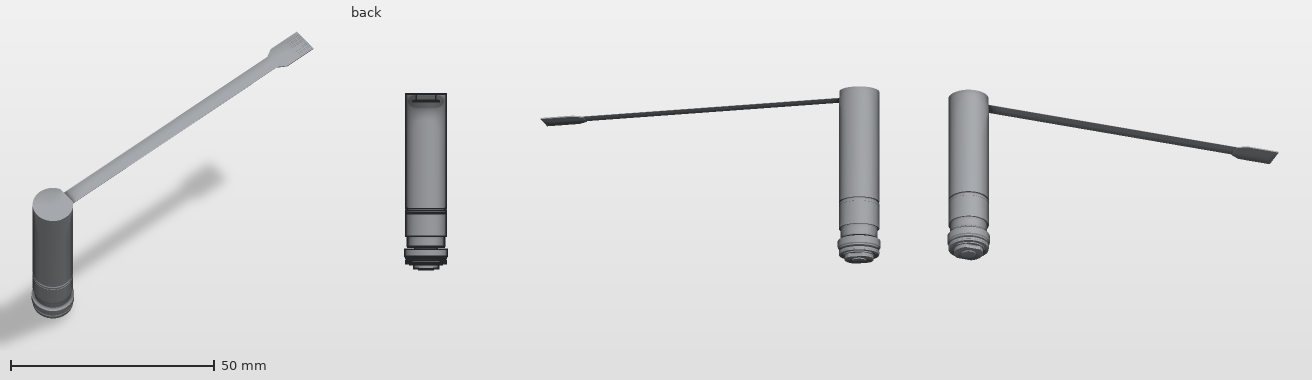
import cadquery as cq


HOUSING_DIAMETER = 10.0
HOUSING_BOTTOM = -28.2
FLAT_Y = 4.35
FLAT_BOTTOM = -1.8

HOLDER_TOP_DIAMETER = 9.0
HOLDER_DIAMETER = 10.0
HOLDER_COLLAR_TOP = -28.7
HOLDER_GROOVE_TOP = -29.2
HOLDER_GROOVE_BOTTOM = -29.5
HOLDER_GROOVE_DIAMETER = 9.8
HOLDER_SHOULDER = -35.0
HOLDER_NOSE_DIAMETER = 9.1
HOLDER_BOTTOM = -37.7
HOLDER_RIM_DIAMETER = HOLDER_TOP_DIAMETER
HOLDER_RIM_TOP = -37.4

TIP_NECK_DIAMETER = 5.6
RING_DIAMETER = 10.5
FLANGE_DIAMETER = 10.0
RING_TOP = -38.2
RING_CHAMFER = (RING_DIAMETER - FLANGE_DIAMETER) / 2
RING_BOTTOM = -40.15
SLEEVE_BOTTOM = -40.4
UNDERCUT_DIAMETER = 6.9
FLANGE_TOP = -40.9
FLANGE_STEP = -41.4
FLANGE_RIM_DIAMETER = 9.9
FLANGE_BOTTOM = -41.8
BOSS_DIAMETER = 8.0
BOSS_BOTTOM = -42.0
SPIGOT_DIAMETER = 7.2
SPIGOT_WIDTH = 6.1
SPIGOT_BOTTOM = -43.0
PAD_DIAMETER = 3.6
TIP_BOTTOM = -43.2

TOTAL_LENGTH = 85.25
CABLE_END_Y = TOTAL_LENGTH - RING_DIAMETER / 2
CABLE_WIDTH = 3.9
CABLE_THICKNESS = 0.1
CABLE_BOTTOM = FLAT_BOTTOM
CABLE_TOP = CABLE_BOTTOM + CABLE_THICKNESS
CONNECTOR_WIDTH = 6.5
CONNECTOR_LENGTH = 10.4
CONNECTOR_STRAIGHT_LENGTH = 8.3
CONNECTOR_THICKNESS = 0.3
CONTACT_COUNT = 12
CONTACT_PITCH = CONNECTOR_WIDTH / (CONTACT_COUNT + 1)
CONTACT_WIDTH = 0.3
CONTACT_LENGTH = 4.0
CONTACT_HEIGHT = 0.05


def disc(diameter, top, bottom):
    """Cylinder on the Z axis between two heights."""
    return cq.Workplane("XY").workplane(offset=bottom).circle(diameter / 2).extrude(top - bottom)


def cone(top_diameter, top, bottom_diameter, bottom):
    """Truncated cone on the Z axis between two heights."""
    return (
        cq.Workplane("XY")
        .workplane(offset=bottom)
        .circle(bottom_diameter / 2)
        .workplane(offset=top - bottom)
        .circle(top_diameter / 2)
        .loft()
    )


def flat_sided_disc(diameter, width_x, width_y, top, bottom):
    """Cylinder on the Z axis trimmed to a rectangle seen along Z."""
    limits = cq.Workplane("XY").workplane(offset=bottom).rect(width_x, width_y).extrude(top - bottom)
    return disc(diameter, top, bottom).intersect(limits)


def fuse(sections):
    """Join the stacked sections of one body into a single solid."""
    body = sections[0]
    for section in sections[1:]:
        body = body.union(section)
    return body


def make_housing():
    body = disc(HOUSING_DIAMETER, 0, HOUSING_BOTTOM)
    flat_cut = (
        cq.Workplane("XY")
        .box(HOUSING_DIAMETER, HOUSING_DIAMETER, -FLAT_BOTTOM, centered=(True, False, False))
        .translate((0, FLAT_Y, FLAT_BOTTOM))
    )
    return body.cut(flat_cut)


def make_holder():
    shoulder = cone(HOLDER_TOP_DIAMETER, HOUSING_BOTTOM, HOLDER_DIAMETER, HOLDER_COLLAR_TOP)
    collar = disc(HOLDER_DIAMETER, HOLDER_COLLAR_TOP, HOLDER_GROOVE_TOP)
    groove_core = disc(HOLDER_GROOVE_DIAMETER, HOLDER_GROOVE_TOP, HOLDER_GROOVE_BOTTOM)
    barrel = disc(HOLDER_DIAMETER, HOLDER_GROOVE_BOTTOM, HOLDER_SHOULDER)
    nose = disc(HOLDER_NOSE_DIAMETER, HOLDER_SHOULDER, HOLDER_RIM_TOP)
    rim = disc(HOLDER_RIM_DIAMETER, HOLDER_RIM_TOP, HOLDER_BOTTOM)
    return fuse([shoulder, collar, groove_core, barrel, nose, rim])


def make_tip():
    neck = disc(TIP_NECK_DIAMETER, HOLDER_BOTTOM, RING_TOP)
    ring = disc(RING_DIAMETER, RING_TOP, RING_BOTTOM).faces("<Z").chamfer(RING_CHAMFER)
    sleeve = disc(FLANGE_DIAMETER, RING_BOTTOM, SLEEVE_BOTTOM)
    undercut = cone(FLANGE_DIAMETER, SLEEVE_BOTTOM, UNDERCUT_DIAMETER, FLANGE_TOP)
    flange = disc(FLANGE_DIAMETER, FLANGE_TOP, FLANGE_STEP)
    flange_rim = disc(FLANGE_RIM_DIAMETER, FLANGE_STEP, FLANGE_BOTTOM)
    boss = flat_sided_disc(BOSS_DIAMETER, BOSS_DIAMETER, SPIGOT_DIAMETER, FLANGE_BOTTOM, BOSS_BOTTOM)
    spigot = flat_sided_disc(SPIGOT_DIAMETER, SPIGOT_WIDTH, SPIGOT_DIAMETER, BOSS_BOTTOM, SPIGOT_BOTTOM)
    pad = disc(PAD_DIAMETER, SPIGOT_BOTTOM, TIP_BOTTOM)
    return fuse([neck, ring, sleeve, undercut, flange, flange_rim, boss, spigot, pad])


def make_cable():
    connector_start = CABLE_END_Y - CONNECTOR_LENGTH
    strip = (
        cq.Workplane("XY")
        .box(CABLE_WIDTH, connector_start - FLAT_Y, CABLE_THICKNESS, centered=(True, False, False))
        .translate((0, FLAT_Y, CABLE_BOTTOM))
    )
    taper_end = CABLE_END_Y - CONNECTOR_STRAIGHT_LENGTH
    connector = (
        cq.Workplane("XY")
        .workplane(offset=CABLE_TOP)
        .moveTo(-CABLE_WIDTH / 2, connector_start)
        .lineTo(CABLE_WIDTH / 2, connector_start)
        .lineTo(CONNECTOR_WIDTH / 2, taper_end)
        .lineTo(CONNECTOR_WIDTH / 2, CABLE_END_Y)
        .lineTo(-CONNECTOR_WIDTH / 2, CABLE_END_Y)
        .lineTo(-CONNECTOR_WIDTH / 2, taper_end)
        .close()
        .extrude(-CONNECTOR_THICKNESS)
    )
    cable = strip.union(connector)
    for index in range(CONTACT_COUNT):
        contact_x = (index - (CONTACT_COUNT - 1) / 2) * CONTACT_PITCH
        contact = (
            cq.Workplane("XY")
            .box(CONTACT_WIDTH, CONTACT_LENGTH, CONTACT_HEIGHT, centered=(True, False, False))
            .translate((contact_x, CABLE_END_Y - CONTACT_LENGTH, CABLE_TOP))
        )
        cable = cable.union(contact)
    return cable


housing = make_housing()
holder = make_holder()
tip = make_tip()
cable = make_cable()

result = cq.Compound.makeCompound([housing.val(), holder.val(), tip.val(), cable.val()])